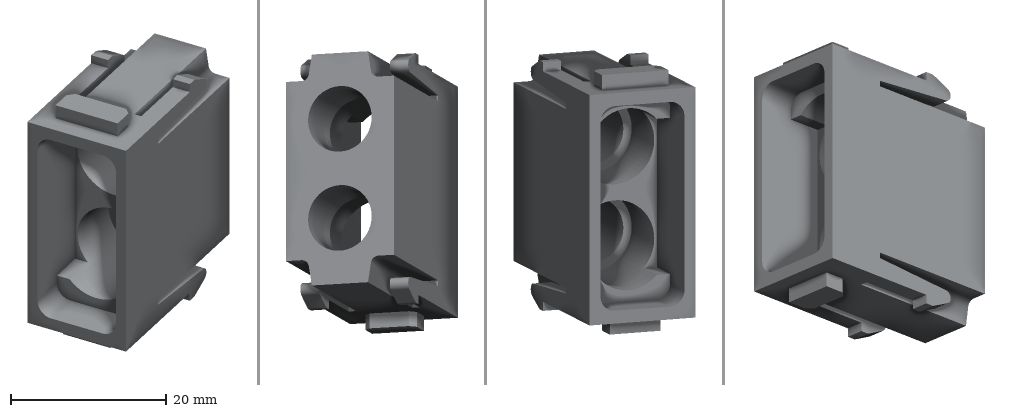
import cadquery as cq
import math


body_width = 14.6
body_length = 27.2
body_height = 30.3
front_y = -body_length / 2
back_y = body_length / 2
half_width = body_width / 2
half_height = body_height / 2

pocket_width = 11.6
pocket_height = 26.9
pocket_corner_radius = 2.0
pocket_depth = 9.9
step_depth = 5.1
step_inner_z = 10.27

bore_pitch = 13.0
bore_diameter = 8.6
counterbore_diameter = 10.9
counterbore_depth = 18.0

tongue_height = 1.95
tongue_front_offset = 2.6
tongue_length = 3.7
tongue_chamfer = 0.85
top_tongue_width = 9.2
bottom_tongue_width = 7.0

notch_length = 18.75
notch_depth = 3.4
notch_top_width = 3.5
notch_draft = 9.0
notch_fillet = 1.0

latch_width = 2.5
latch_height = 1.2
latch_catch_y = 10.45
latch_crest_y = 9.25
latch_root_depth = 2.63
latch_under_angle = 4.3
latch_ramp_angle = 25.0
latch_nose_radius = 0.9

cut_margin = 1.0


def front_plane():
    """Sketch plane on the front face; local x is X, local y is Z, normal is -Y."""
    return cq.Workplane("XZ", origin=(0, front_y, 0))


def make_body():
    return cq.Workplane("XY").box(body_width, body_length, body_height)


def make_pocket():
    """Rounded pocket, deepest between the two end steps."""
    shallow = front_plane().rect(pocket_width, pocket_height).extrude(-step_depth)
    shallow = shallow.edges("|Y").fillet(pocket_corner_radius)
    deep = front_plane().rect(pocket_width, 2 * step_inner_z).extrude(-pocket_depth)
    return shallow.union(deep)


def make_contact_bore(z):
    """Through bore with a counterbore opening toward the front."""
    bore = front_plane().center(0, z).circle(bore_diameter / 2).extrude(-body_length)
    counterbore = front_plane().center(0, z).circle(counterbore_diameter / 2).extrude(-counterbore_depth)
    return bore.union(counterbore)


def make_tongue(width, side):
    """Coding tongue on the top (side = 1) or bottom (side = -1), with chamfered rear corners."""
    center_y = front_y + tongue_front_offset + tongue_length / 2
    center_z = side * (half_height + tongue_height / 2)
    tongue = cq.Workplane("XY").box(width, tongue_length, tongue_height)
    tongue = tongue.faces(">Y").edges("|Z").chamfer(tongue_chamfer)
    return tongue.translate((0, center_y, center_z))


def make_notch():
    """Notch at the -X top corner: flat floor, rounded inner corner and drafted wall."""
    draft = math.radians(notch_draft)
    wall_slope = math.tan(draft)
    wall_top_x = -half_width + notch_top_width
    floor_z = half_height - notch_depth
    corner_x = wall_top_x - notch_depth * wall_slope

    tangent_length = notch_fillet * math.tan((math.pi / 2 - draft) / 2)
    fillet_floor_x = corner_x - tangent_length
    fillet_wall = (
        corner_x + tangent_length * math.sin(draft),
        floor_z + tangent_length * math.cos(draft),
    )

    outline = (
        cq.Workplane("XZ", origin=(0, back_y - notch_length, 0))
        .moveTo(-half_width - cut_margin, floor_z)
        .lineTo(fillet_floor_x, floor_z)
        .tangentArcPoint(fillet_wall, relative=False)
        .lineTo(wall_top_x + cut_margin * wall_slope, half_height + cut_margin)
        .lineTo(-half_width - cut_margin, half_height + cut_margin)
        .close()
    )
    return outline.extrude(-notch_length - cut_margin)


def make_latch():
    """Latch arm at the -X top corner: tapered arm, rounded nose, entry ramp and catch face."""
    ramp = math.radians(latch_ramp_angle)
    under = math.radians(latch_under_angle)
    root_y = back_y - notch_length
    root_z = half_height - latch_root_depth
    crest_y = back_y - latch_crest_y
    crest_z = half_height + latch_height
    catch_y = back_y - latch_catch_y

    ramp_offset = crest_z + crest_y * math.tan(ramp) - latch_nose_radius / math.cos(ramp)
    under_offset = root_z - root_y * math.tan(under) + latch_nose_radius / math.cos(under)
    nose_y = (ramp_offset - under_offset) / (math.tan(ramp) + math.tan(under))
    nose_z = under_offset + nose_y * math.tan(under)

    nose_top = (
        nose_y + latch_nose_radius * math.sin(ramp),
        nose_z + latch_nose_radius * math.cos(ramp),
    )
    nose_tip = (nose_y + latch_nose_radius, nose_z)
    nose_bottom = (
        nose_y + latch_nose_radius * math.sin(under),
        nose_z - latch_nose_radius * math.cos(under),
    )

    profile = (
        cq.Workplane("YZ", origin=(-half_width, 0, 0))
        .moveTo(root_y, root_z)
        .lineTo(*nose_bottom)
        .threePointArc(nose_tip, nose_top)
        .lineTo(crest_y, crest_z)
        .lineTo(catch_y, crest_z)
        .lineTo(catch_y, half_height)
        .lineTo(root_y, half_height)
        .close()
    )
    return profile.extrude(latch_width)


def at_four_corners(shape):
    """Copies of a -X top corner shape at all four long corners of the body."""
    top_pair = [shape, shape.mirror("YZ")]
    return top_pair + [corner.mirror("XY") for corner in top_pair]


result = make_body().cut(make_pocket())

for bore_z in (-bore_pitch / 2, bore_pitch / 2):
    result = result.cut(make_contact_bore(bore_z))

for notch in at_four_corners(make_notch()):
    result = result.cut(notch)

for latch in at_four_corners(make_latch()):
    result = result.union(latch)

result = result.union(make_tongue(top_tongue_width, 1))
result = result.union(make_tongue(bottom_tongue_width, -1))